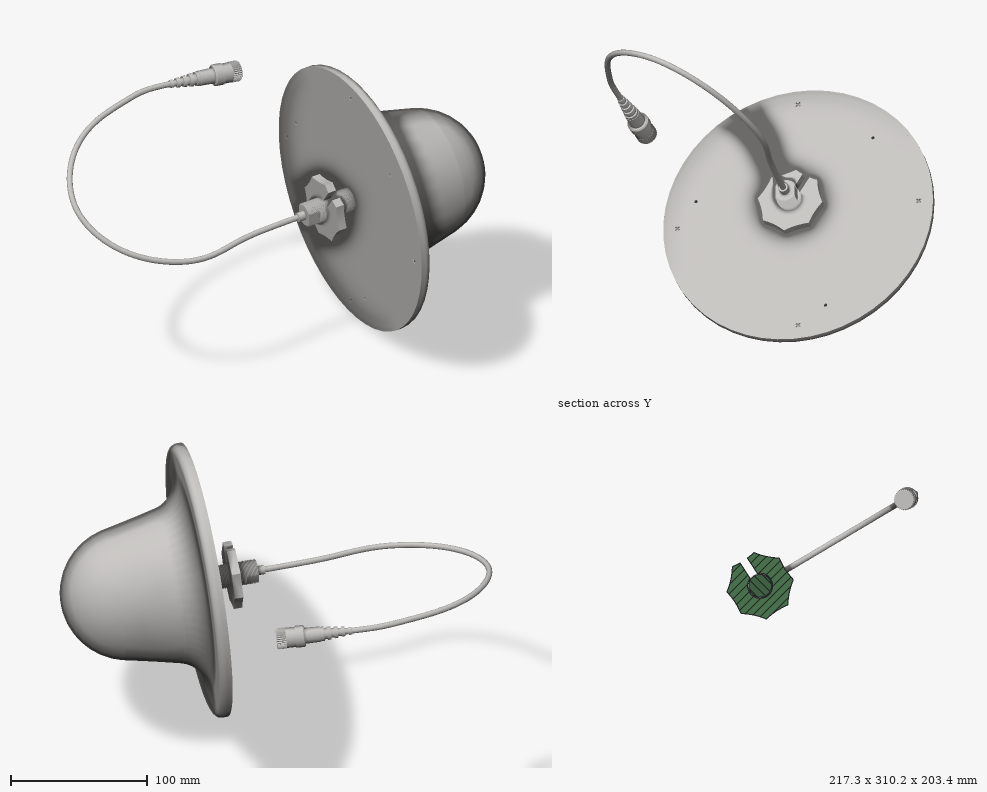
import cadquery as cq
import math


flange_radius = 101.7
flange_thickness = 9.0
flange_round = 5.3
dome_height = 107.0
shoulder_height = 69.0
shoulder_radius = 48.0
skirt_height = 27.5
skirt_radius = 57.3

plate_radius = flange_radius - 2.5
plate_thickness = 3.7
pin_hole_radius = 1.2
pin_hole_circle = 79.7
pin_hole_count = 3
pin_hole_start = 45

screw_radius = 2.8
screw_length = 2 * plate_thickness
screw_circle = 90.8
screw_count = 4
cross_length = 4.3
cross_width = 1.2
cross_depth = 1.2

stud_radius = 9.0
stud_length = 39.5
thread_count = 40
thread_pitch = stud_length / thread_count
thread_depth = 1.0
flat_length = 9.3
flat_distance = 7.0

nut_near_y = -17.7
nut_thickness = 6.5
nut_corner_radius = 24.8
nut_hollow_radius = 22.0
nut_corner_count = 8
nut_first_corner = 34.5
nut_slot_angle = nut_first_corner + 180 / nut_corner_count
nut_slot_width = 6.2

cable_plane_angle = 30.7
cable_radius = 2.2
collar_radius = 3.5
collar_length = 5.5
cable_start_y = -stud_length - collar_length
cable_lean = 8
cable_bends = [
    (-0.3, -68.2),
    (-2.2, -95.2),
    (-6.0, -123.0),
    (2.0, -156.8),
    (28.5, -189.7),
    (62.5, -201.0),
    (94.2, -189.7),
    (120.5, -156.8),
    (129.5, -123.0),
]
cable_end = (130.2, -86.8)

boot_length = 20.5
boot_small_radius = 2.8
boot_large_radius = 5.3
boot_groove_count = 4
boot_groove_depth = 0.77
boot_pitch = boot_length / boot_groove_count
boot_ridge = boot_pitch / 2
shoulder_end = 23.0
sleeve_start_radius = 5.5
sleeve_end = 34.5
sleeve_radius = 6.0
rear_band_end = 41.5
rear_band_radius = 8.0
band_chamfer = 1.0
front_band_end = 48.5
front_band_radius = 7.5
knurl_end = 55.5
knurl_radius = 7.7
knurl_depth = 0.77
knurl_chamfer = 1.0
knurl_teeth = 32


def polar(radius, degrees):
    angle = math.radians(degrees)
    return (radius * math.cos(angle), radius * math.sin(angle))


def ring_points(count, radius, start=0):
    return [polar(radius, start + i * 360 / count) for i in range(count)]


def disc(radius, thickness):
    """Disc from the mounting face toward +Y."""
    return cq.Workplane("XZ").circle(radius).extrude(-thickness)


def drills(points, radius, depth):
    return cq.Workplane("XZ").pushPoints(points).circle(radius).extrude(-depth)


screw_points = ring_points(screw_count, screw_circle)
screw_holes = drills(screw_points, screw_radius, screw_length)


def make_dome():
    cap_rise = dome_height - shoulder_height
    cap_radius = (shoulder_radius**2 + cap_rise**2) / (2 * cap_rise)
    cap_centre = dome_height - cap_radius
    half_angle = math.degrees(math.asin(shoulder_radius / cap_radius)) / 2
    cap_x, cap_y = polar(cap_radius, 90 - half_angle)

    skirt_slope = math.degrees(
        math.atan2(shoulder_height - skirt_height, skirt_radius - shoulder_radius)
    )
    turn = math.radians(skirt_slope)
    flare_radius = (skirt_height - flange_thickness) / (1 - math.cos(turn))
    flare_end = skirt_radius + flare_radius * math.sin(turn)
    flare_dx, flare_dy = polar(flare_radius, 270 - skirt_slope / 2)

    round_centre = (flange_radius - flange_round, flange_thickness - flange_round)
    round_dx, round_dy = polar(flange_round, 45)

    body = (
        cq.Workplane("XY")
        .moveTo(0, 0)
        .lineTo(0, dome_height)
        .threePointArc((cap_x, cap_centre + cap_y), (shoulder_radius, shoulder_height))
        .lineTo(skirt_radius, skirt_height)
        .threePointArc(
            (flare_end + flare_dx, flange_thickness + flare_radius + flare_dy),
            (flare_end, flange_thickness),
        )
        .lineTo(round_centre[0], flange_thickness)
        .threePointArc(
            (round_centre[0] + round_dx, round_centre[1] + round_dy),
            (flange_radius, round_centre[1]),
        )
        .lineTo(flange_radius, 0)
        .close()
        .revolve(360, (0, 0), (0, 1))
    )
    return body.cut(disc(plate_radius, plate_thickness)).cut(screw_holes)


def make_stud():
    root_radius = stud_radius - thread_depth
    outline = [(0, 0), (root_radius, 0)]
    for i in range(thread_count):
        outline.append((stud_radius, -(i + 0.5) * thread_pitch))
        outline.append((root_radius, -(i + 1) * thread_pitch))
    outline.append((0, -stud_length))
    stud = cq.Workplane("XY").polyline(outline).close().revolve(360, (0, 0), (0, 1))

    for side in (-1, 1):
        waste = cq.Workplane("XY").box(stud_radius, flat_length, 2 * stud_radius).translate(
            (side * (flat_distance + stud_radius / 2), flat_length / 2 - stud_length, 0)
        )
        stud = stud.cut(waste)
    return stud


def make_base():
    """Base plate and its threaded stud, in one piece."""
    pin_points = ring_points(pin_hole_count, pin_hole_circle, pin_hole_start)
    pin_holes = drills(pin_points, pin_hole_radius, plate_thickness)
    plate = disc(plate_radius, plate_thickness).cut(screw_holes).cut(pin_holes)
    return plate.union(make_stud())


def make_screw(point):
    """Flush screw with a diagonal cross recess."""
    screw = disc(screw_radius, screw_length)
    for angle in (45, 135):
        arm = cq.Workplane("XZ").rect(cross_length, cross_width).extrude(-cross_depth)
        screw = screw.cut(arm.rotate((0, 0, 0), (0, 1, 0), angle))
    return screw.translate((point[0], 0, point[1]))


def make_nut():
    """Octagonal nut with slightly hollow sides and one slot through to the bore."""
    corners = ring_points(nut_corner_count, nut_corner_radius, nut_first_corner)
    hollows = ring_points(nut_corner_count, nut_hollow_radius, nut_slot_angle)
    outline = cq.Workplane("XZ").moveTo(*corners[0])
    for hollow, corner in zip(hollows, corners[1:] + corners[:1]):
        outline = outline.threePointArc(hollow, corner)
    nut = outline.close().circle(stud_radius).extrude(nut_thickness)
    slot = (
        cq.Workplane("XZ")
        .transformed(rotate=(0, 0, nut_slot_angle))
        .center(nut_corner_radius / 2, 0)
        .rect(nut_corner_radius, nut_slot_width)
        .extrude(nut_thickness)
    )
    return nut.cut(slot).translate((0, nut_near_y, 0))


def make_connector(plane):
    """Connector along the plane's local Y, starting at the small end of the boot."""
    boot_taper = (boot_large_radius - boot_small_radius) / boot_length
    outline = [(0, 0)]
    for i in range(boot_groove_count):
        ridge_start = i * boot_pitch
        ridge_end = ridge_start + boot_ridge
        groove_end = ridge_start + boot_pitch
        start_radius = boot_small_radius + boot_taper * ridge_start
        end_radius = boot_small_radius + boot_taper * ridge_end
        groove_radius = end_radius - boot_groove_depth
        outline += [
            (start_radius, ridge_start),
            (end_radius, ridge_end),
            (groove_radius, ridge_end),
            (groove_radius, groove_end),
        ]
    outline += [
        (boot_large_radius, boot_length),
        (boot_large_radius, shoulder_end),
        (sleeve_start_radius, shoulder_end),
        (sleeve_radius, sleeve_end),
        (rear_band_radius - band_chamfer, sleeve_end),
        (rear_band_radius, sleeve_end + band_chamfer),
        (rear_band_radius, rear_band_end),
        (front_band_radius, rear_band_end),
        (front_band_radius, front_band_end),
        (0, front_band_end),
    ]
    turned = cq.Workplane(plane).polyline(outline).close().revolve(360, (0, 0), (0, 1))

    knurl_plane = cq.Plane(plane.toWorldCoords((0, front_band_end, 0)), plane.xDir, plane.yDir)
    radii = (knurl_radius, knurl_radius - knurl_depth)
    teeth = [polar(radii[i % 2], i * 180 / knurl_teeth) for i in range(2 * knurl_teeth)]
    knurl_length = knurl_end - front_band_end
    envelope = (
        cq.Workplane(knurl_plane)
        .circle(knurl_radius)
        .extrude(knurl_length)
        .faces(cq.selectors.DirectionMinMaxSelector(plane.yDir))
        .chamfer(knurl_chamfer)
    )
    knurl = cq.Workplane(knurl_plane).polyline(teeth).close().extrude(knurl_length)
    knurl = knurl.intersect(envelope)
    return turned.union(knurl)


def make_cable():
    """Collar, cable and connector, in one piece."""
    cos_a, sin_a = polar(1, cable_plane_angle)
    cable_plane = cq.Plane((0, 0, 0), (-cos_a, 0, sin_a), (-sin_a, 0, -cos_a))
    lean_x, lean_y = polar(3, 90 + cable_lean)

    points = [(0, cable_start_y), *cable_bends, cable_end]
    path = cq.Workplane(cable_plane).spline(points, tangents=[(0, -1), (lean_x, lean_y)])
    start = cq.Workplane("XZ", origin=(0, cable_start_y, 0))
    cord = start.circle(cable_radius).sweep(path)
    collar = start.circle(collar_radius).extrude(-collar_length)

    connector_plane = cq.Plane(
        cable_plane.toWorldCoords(cable_end),
        cable_plane.toWorldCoords((lean_y, -lean_x)),
        cable_plane.zDir,
    )
    return cord.union(collar).union(make_connector(connector_plane))


dome = make_dome()
base = make_base()
screws = [make_screw(point) for point in screw_points]
nut = make_nut()
cable = make_cable()

result = cq.Compound.makeCompound(
    [dome.val(), base.val(), *[screw.val() for screw in screws], nut.val(), cable.val()]
)